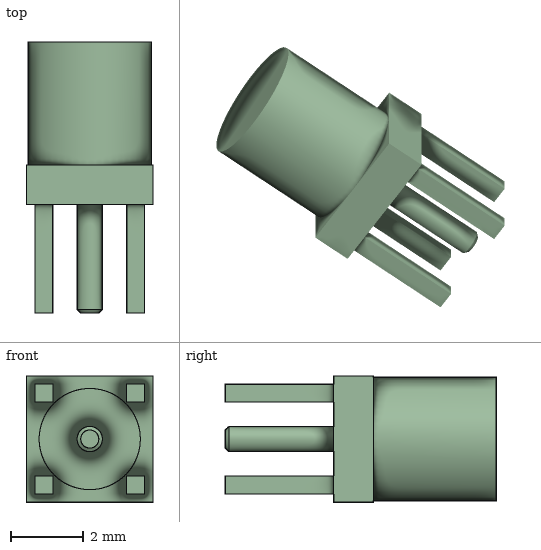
import cadquery as cq


flange_side = 3.5
flange_thickness = 1.1
barrel_diameter = 3.42
barrel_length = 3.4
leg_side = 0.5
leg_pitch = 2.54
leg_length = 3.0

insulator_diameter = 2.8

pin_diameter = 0.7
pin_chamfer = 0.1
pin_protrusion = leg_length

body_length = flange_thickness + barrel_length


def cylinder_along_y(diameter, start, length):
    """Solid cylinder on the connector axis, from Y = start toward +Y."""
    plane = cq.Workplane("XZ", origin=(0, start, 0))
    return plane.circle(diameter / 2).extrude(-length)


def make_housing():
    """Square flange with a round barrel, four legs and a bore for the insulator."""
    flange = cq.Workplane("XZ").rect(flange_side, flange_side).extrude(-flange_thickness)
    barrel = cylinder_along_y(barrel_diameter, flange_thickness, barrel_length)
    legs = (
        cq.Workplane("XZ")
        .rect(leg_pitch, leg_pitch, forConstruction=True)
        .vertices()
        .rect(leg_side, leg_side)
        .extrude(leg_length)
    )
    bore = cylinder_along_y(insulator_diameter, 0, body_length)
    return flange.union(barrel).union(legs).cut(bore)


def make_insulator():
    """Round insulator that fills the housing bore, with a hole for the pin."""
    insulator = cylinder_along_y(insulator_diameter, 0, body_length)
    pin_hole = cylinder_along_y(pin_diameter, 0, body_length)
    return insulator.cut(pin_hole)


def make_pin():
    """Contact pin through the insulator, chamfered at its free end."""
    pin = cylinder_along_y(pin_diameter, -pin_protrusion, pin_protrusion + body_length)
    return pin.faces("<Y").chamfer(pin_chamfer)


housing = make_housing()
insulator = make_insulator()
pin = make_pin()

result = cq.Compound.makeCompound([housing.val(), insulator.val(), pin.val()])